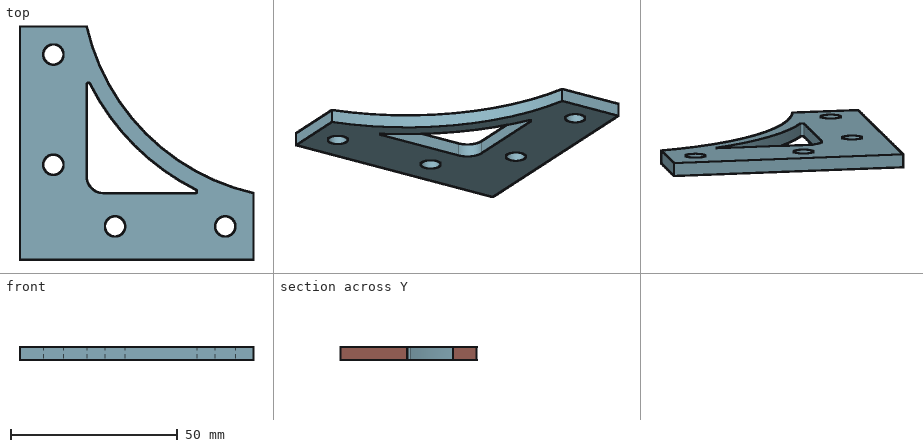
import cadquery as cq
import math

side = 70.0
thickness = 4.0
arm_width = 20.0
hole_diameter = 6.0
inner_hole = 28.5
outer_hole = 61.5
arc_center = 84.7
brace_width = 5.0
heel_radius = 5.0
tip_radius = 0.5

outer_radius = math.hypot(arc_center - arm_width, arc_center - side)
window_radius = outer_radius + brace_width


def diagonal_point(radius):
    """Point where an arc about the shared centre crosses the X = Y diagonal."""
    coordinate = arc_center - radius / math.sqrt(2)
    return coordinate, coordinate


def make_plate():
    return (
        cq.Workplane("XY")
        .lineTo(side, 0)
        .lineTo(side, arm_width)
        .threePointArc(diagonal_point(outer_radius), (arm_width, side))
        .lineTo(0, side)
        .close()
        .extrude(thickness)
    )


def make_window():
    reach = arc_center - math.sqrt(window_radius**2 - (arc_center - arm_width) ** 2)
    window = (
        cq.Workplane("XY")
        .moveTo(arm_width, arm_width)
        .lineTo(reach, arm_width)
        .threePointArc(diagonal_point(window_radius), (arm_width, reach))
        .close()
        .extrude(thickness)
    )
    heel = cq.selectors.NearestToPointSelector((arm_width, arm_width, thickness / 2))
    window = window.edges("|Z").edges(heel).fillet(heel_radius)
    for tip in [(reach, arm_width), (arm_width, reach)]:
        tip_edge = cq.selectors.NearestToPointSelector((*tip, thickness / 2))
        window = window.edges("|Z").edges(tip_edge).fillet(tip_radius)
    return window


def make_holes():
    arm_middle = arm_width / 2
    centers = []
    for distance in (inner_hole, outer_hole):
        centers.append((distance, arm_middle))
        centers.append((arm_middle, distance))
    return cq.Workplane("XY").pushPoints(centers).circle(hole_diameter / 2).extrude(thickness)


result = make_plate().cut(make_window()).cut(make_holes())